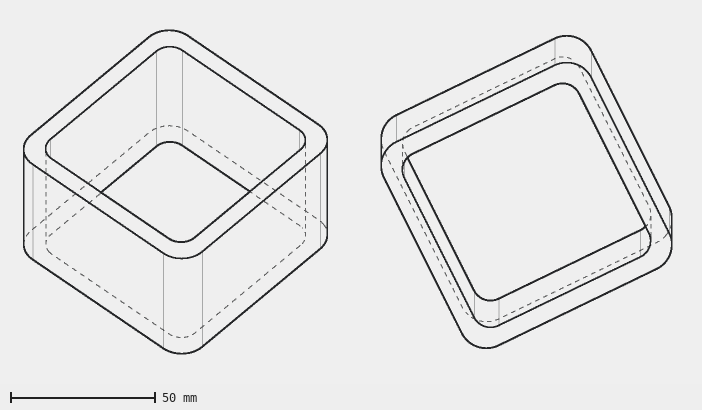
import cadquery as cq

side = 80.0
height = 50.0
wall = 6.3
outer_radius = 1.5 * wall
inner_radius = wall


def rounded_square_prism(width, corner_radius):
    """Square prism centred on the origin with rounded vertical edges."""
    return cq.Workplane("XY").box(width, width, height).edges("|Z").fillet(corner_radius)


outer_body = rounded_square_prism(side, outer_radius)
bore = rounded_square_prism(side - 2 * wall, inner_radius)

result = outer_body.cut(bore)